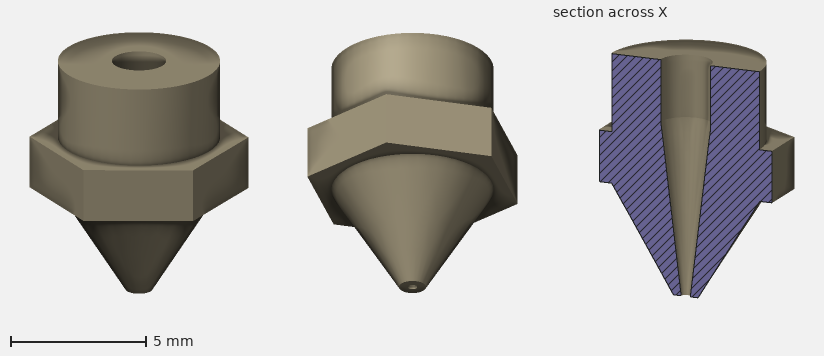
import cadquery as cq
import math

tip_height = 4.0
hex_height = 2.0
shank_height = 3.0
hex_top = tip_height + hex_height
total_height = hex_top + shank_height

shank_diameter = 6.0
tip_diameter = 1.0
hex_sides = 6
hex_across_flats = 7.0
hex_across_corners = hex_across_flats / math.cos(math.pi / hex_sides)

bore_diameter = 2.0
orifice_diameter = 0.35
funnel_height = 6.6


def make_tip():
    """Cone from the small tip face up to the shank diameter."""
    return cq.Workplane(cq.Solid.makeCone(tip_diameter / 2, shank_diameter / 2, tip_height))


def make_hex_flange():
    """Hexagonal flange with two of its corners on the X axis."""
    return (
        cq.Workplane("XY")
        .workplane(offset=tip_height)
        .polygon(hex_sides, hex_across_corners)
        .extrude(hex_height)
    )


def make_shank():
    """Round shank on top of the flange."""
    return cq.Workplane("XY").workplane(offset=hex_top).circle(shank_diameter / 2).extrude(shank_height)


def make_passage():
    """Bore and funnel as one profile, drawn as (radius, height) and turned about Z."""
    bore_radius = bore_diameter / 2
    return (
        cq.Workplane("XZ")
        .lineTo(orifice_diameter / 2, 0)
        .lineTo(bore_radius, funnel_height)
        .lineTo(bore_radius, total_height)
        .lineTo(0, total_height)
        .close()
        .revolve(360, (0, 0, 0), (0, 1, 0))
    )


body = make_tip().union(make_hex_flange()).union(make_shank())
result = body.cut(make_passage())